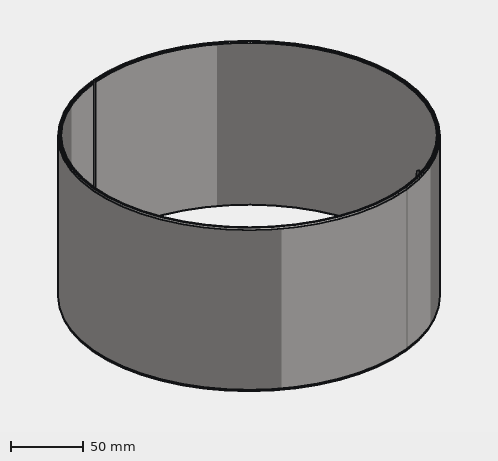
import cadquery as cq

outer_diameter = 265.0
height = 130.0
wall = 2.5

outer_bevel_width = 0.5
outer_bevel_height = 1.5
inner_bevel_width = 0.8
inner_bevel_height = 0.8

slit_width = 2.0
slit_depth = 4 * wall

hole_diameter = 10.0
hole_angle = 59.0

outer_radius = outer_diameter / 2
inner_radius = outer_radius - wall


def make_band():
    """Revolve the wall section, with its four corners bevelled, about Z."""
    section = [
        (inner_radius, inner_bevel_height),
        (inner_radius + inner_bevel_width, 0),
        (outer_radius - outer_bevel_width, 0),
        (outer_radius, outer_bevel_height),
        (outer_radius, height - outer_bevel_height),
        (outer_radius - outer_bevel_width, height),
        (inner_radius + inner_bevel_width, height),
        (inner_radius, height - inner_bevel_height),
    ]
    return cq.Workplane("XZ").polyline(section).close().revolve(360, (0, 0), (0, 1))


def make_slit():
    """Full-height box that opens the ring on its -X side."""
    return (
        cq.Workplane("XY")
        .center(-outer_radius, slit_width / 2)
        .rect(slit_depth, slit_width)
        .extrude(height)
    )


def make_hole():
    """Radial cylinder running from the axis out past one wall."""
    return (
        cq.Workplane("YZ")
        .center(0, height / 2)
        .circle(hole_diameter / 2)
        .extrude(outer_diameter)
        .rotate((0, 0, 0), (0, 0, 1), hole_angle)
    )


result = make_band().cut(make_slit()).cut(make_hole())